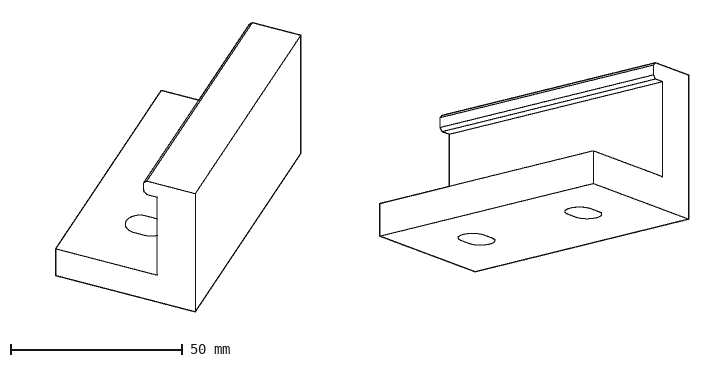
import cadquery as cq

depth = 44.0
length = 80.0
height = 44.0

base_thickness = 10.0
wall_thickness = 12.0
lip_overhang = 4.3
lip_height = 5.0
lip_chamfer = 1.0

slot_length = 12.0
slot_width = 8.5
slot_center_x = 20.0
slot_spacing = 40.0

wall_face_x = depth - wall_thickness
lip_face_x = wall_face_x - lip_overhang
lip_bottom_z = height - lip_height


def make_body():
    """Extrude the lipped L section along +Y from the Y = 0 end."""
    section = [
        (0, 0),
        (depth, 0),
        (depth, height),
        (lip_face_x + lip_chamfer, height),
        (lip_face_x, height - lip_chamfer),
        (lip_face_x, lip_bottom_z + lip_chamfer),
        (lip_face_x + lip_chamfer, lip_bottom_z),
        (wall_face_x, lip_bottom_z),
        (wall_face_x, base_thickness),
        (0, base_thickness),
    ]
    return cq.Workplane("XZ").polyline(section).close().extrude(-length)


def make_slots():
    """Cutters for the two slots, placed evenly about the middle of the length."""
    slot_centers = [
        (slot_center_x, length / 2 + side * slot_spacing / 2) for side in (-1, 1)
    ]
    return (
        cq.Workplane("XY")
        .pushPoints(slot_centers)
        .slot2D(slot_length, slot_width)
        .extrude(base_thickness)
    )


result = make_body().cut(make_slots())